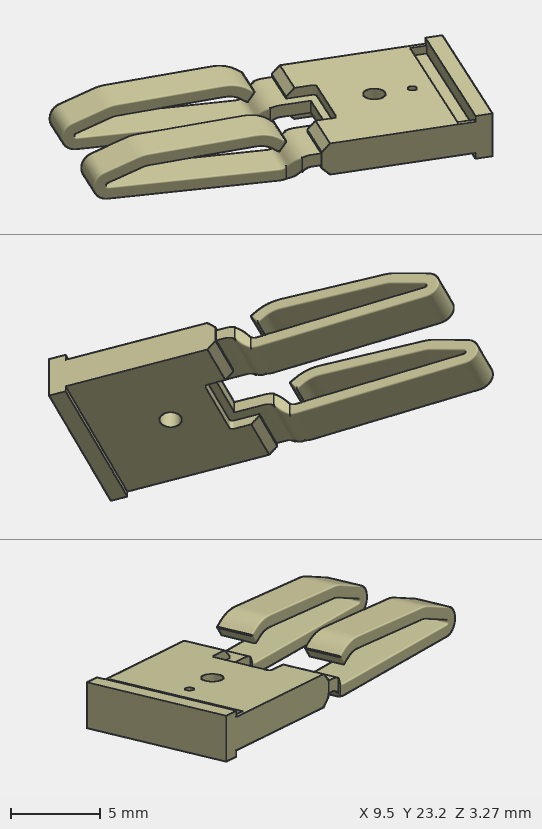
import cadquery as cq
import math


block_width = 9.5
block_length = 10.0
block_height = 2.0
head_length = 1.0
head_height = 2.74
nose_chamfer = 0.49

notch_half_width = 2.0
notch_back = 8.25
notch_corner_radius = 0.2

through_hole_diameter = 1.25
through_hole_distance = 5.45
blind_hole_diameter = 0.5
blind_hole_distance = 3.22
blind_hole_depth = 0.5
groove_width = 9.0
groove_length = 0.97
groove_depth = 0.5

sheet_thickness = 0.77
web_back = 6.95
web_gap_back = 8.75
prong_spacing = 6.0
leg_width = 3.27
prong_width = 2.43
taper_start = 11.1
taper_end = 11.9
edge_radius = 0.1

flat_length = 3.6
neck_down_radius = 1.11
neck_down_angle = 48.0
neck_length = 0.23
neck_up_radius = 0.97
lower_arm_slope = 2.7
lower_arm_length = 10.02
tip_radius = 0.5
ramp_slope = 18.4
ramp_length = 2.1
shoulder_radius = 1.8
upper_arm_slope = 1.6
upper_arm_length = 6.05
crest_radius = 9.97
curl_radius = 1.97
curl_angle = 36.0
tail_length = 0.45

neck_path = [
    (flat_length, 0),
    (neck_down_radius, -neck_down_angle),
    (neck_length, 0),
    (neck_up_radius, neck_down_angle + lower_arm_slope),
    (lower_arm_length, 0),
]
prong_path = neck_path + [
    (tip_radius, 180 - ramp_slope - lower_arm_slope),
    (ramp_length, 0),
    (shoulder_radius, ramp_slope - upper_arm_slope),
    (upper_arm_length, 0),
    (crest_radius, upper_arm_slope),
    (curl_radius, curl_angle),
    (tail_length, 0),
]


def box(width, y_back, y_front, z_low, z_high):
    """Box centred on X between two distances from the back face."""
    length = y_front - y_back
    corner = (-width / 2, -y_front, z_low)
    return cq.Workplane("XY").box(width, length, z_high - z_low, centered=False).translate(corner)


def sheet_profile(path, start_distance, thickness):
    """Closed outline, in the YZ plane, of a sheet that follows a path of straights and bends."""
    distance = start_distance
    height = 0.0
    heading = 0.0
    upper_points = []
    lower_points = []

    def add_points():
        """Store the two surface points beside the current point of the path."""
        across = thickness / 2 * math.sin(heading)
        up = thickness / 2 * math.cos(heading)
        upper_points.append((-distance + across, height + up))
        lower_points.append((-distance - across, height - up))

    add_points()
    for size, angle in path:
        half_turn = math.radians(angle) / 2
        step = 2 * size * math.sin(abs(half_turn) / 2) if angle else size / 2
        for _ in range(2):
            distance += step * math.cos(heading + half_turn / 2)
            height += step * math.sin(heading + half_turn / 2)
            heading += half_turn
            add_points()

    outline = cq.Workplane("YZ").moveTo(*upper_points[0])
    for i, (_, angle) in enumerate(path):
        halfway, end = upper_points[2 * i + 1 : 2 * i + 3]
        outline = outline.threePointArc(halfway, end) if angle else outline.lineTo(*end)
    outline = outline.lineTo(*lower_points[-1])
    for i, (_, angle) in reversed(list(enumerate(path))):
        end, halfway = lower_points[2 * i : 2 * i + 2]
        outline = outline.threePointArc(halfway, end) if angle else outline.lineTo(*end)
    return outline.close()


def make_block():
    block = box(block_width, 0, block_length, -block_height / 2, block_height / 2)
    block = block.faces("<Y").edges("|X").chamfer(nose_chamfer)
    block = block.union(box(block_width, 0, head_length, -head_height / 2, head_height / 2))

    notch = box(2 * notch_half_width, notch_back, block_length, -block_height, block_height)
    block = block.cut(notch.edges("|Z and >Y").fillet(notch_corner_radius))

    top = block_height / 2
    groove_end = head_length + groove_length
    return block.cut(box(groove_width, head_length, groove_end, top - groove_depth, top))


def make_web():
    half = sheet_thickness / 2
    return box(prong_spacing + leg_width, web_back, web_gap_back, -half, half)


def make_prong():
    """One prong centred on X: a wide leg, a neck that tapers, and a folded arm with rounded edges."""
    arm = sheet_profile(prong_path, web_back, sheet_thickness).extrude(prong_width / 2, both=True)
    arm = arm.faces("<X or >X").edges().fillet(edge_radius)
    arm = arm.cut(box(2 * leg_width, 0, taper_end, -head_height, head_height))

    sheet = sheet_profile(neck_path, web_back, sheet_thickness).extrude(leg_width / 2, both=True)
    leg = sheet.intersect(box(leg_width, web_back, taper_start, -head_height, head_height))

    taper_plan = (
        cq.Workplane("XY")
        .moveTo(-leg_width / 2, -taper_start)
        .lineTo(-prong_width / 2, -taper_end)
        .lineTo(prong_width / 2, -taper_end)
        .lineTo(leg_width / 2, -taper_start)
        .close()
        .extrude(head_height, both=True)
    )
    taper = sheet.intersect(taper_plan)
    taper = taper.faces("<X or >X").edges("not(|Z)").fillet(edge_radius)
    return leg.union(taper).union(arm)


def make_holes():
    through_hole = (
        cq.Workplane("XY")
        .center(0, -through_hole_distance)
        .circle(through_hole_diameter / 2)
        .extrude(block_height, both=True)
    )
    blind_hole = (
        cq.Workplane("XY", origin=(0, -blind_hole_distance, block_height / 2))
        .circle(blind_hole_diameter / 2)
        .extrude(-blind_hole_depth)
    )
    return through_hole.union(blind_hole)


prong = make_prong()
result = make_block().union(make_web())
for side in (-1, 1):
    result = result.union(prong.translate((side * prong_spacing / 2, 0, 0)))
result = result.cut(make_holes())